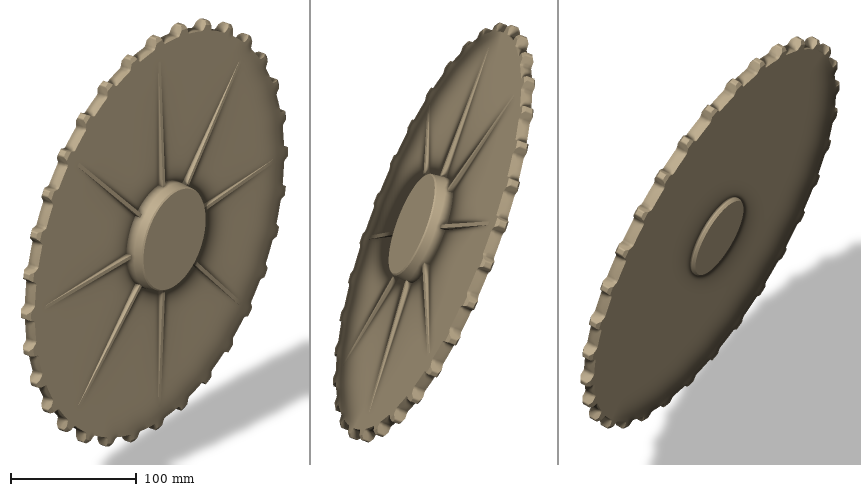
import cadquery as cq
import math

PLATE_BACK = 4.2
PLATE_THICKNESS = 10.0
PLATE_FRONT = PLATE_BACK + PLATE_THICKNESS
COLLAR_HEIGHT = 6.0
COLLAR_FACE = PLATE_FRONT + COLLAR_HEIGHT
TOTAL_LENGTH = 29.0

TOOTH_COUNT = 32
TOOTH_PITCH = 360 / TOOTH_COUNT
TIP_RADIUS = 176.0
ROOT_RADIUS = 168.0
TIP_HALF_WIDTH = 2.5
BASE_HALF_WIDTH = 6.5
ROOT_FILLET = 2.8
TIP_FILLET = 1.8
TIP_CHAMFER_RADIAL = 3.0
TIP_CHAMFER_AXIAL = 2.0
BASE_OVERLAP = 1.8

RIB_COUNT = 8
RIB_PITCH = 360 / RIB_COUNT
RIB_THICKNESS = 3.0
RIB_OUTER_RADIUS = 155.0
RIB_HEIGHT = 4.5

COLLAR_BASE_RADIUS = 44.7
FLANGE_END_RADIUS = 43.0
FLANGE_CHAMFER = 1.0
BEVEL_START = TOTAL_LENGTH - FLANGE_CHAMFER
TAPER = (COLLAR_BASE_RADIUS - FLANGE_END_RADIUS) / (BEVEL_START - PLATE_FRONT)
COLLAR_FACE_RADIUS = COLLAR_BASE_RADIUS - TAPER * COLLAR_HEIGHT
SPIGOT_RADIUS = 35.0
SPIGOT_CHAMFER_RADIAL = 1.5
SPIGOT_CHAMFER_AXIAL = 2.0


def revolve_about_x(points):
    """Solid of revolution about X from (position along X, radius) points."""
    return cq.Workplane("XY").polyline(points).close().revolve(360, (0, 0, 0), (1, 0, 0))


def disc(start, length, radius):
    return cq.Workplane("YZ").workplane(offset=start).circle(radius).extrude(length)


def around_axis(feature, index, pitch):
    return feature.rotate((0, 0, 0), (1, 0, 0), index * pitch)


def make_tooth():
    """Tapered tooth along +Z, with rounded tip corners and concave fillets onto the root circle."""
    base_z = math.sqrt(ROOT_RADIUS**2 - BASE_HALF_WIDTH**2)
    flank_run = BASE_HALF_WIDTH - TIP_HALF_WIDTH
    flank_rise = TIP_RADIUS - base_z
    flank_length = math.hypot(flank_run, flank_rise)
    normal_y = flank_rise / flank_length
    normal_z = flank_run / flank_length

    start_y = BASE_HALF_WIDTH + ROOT_FILLET * normal_y
    start_z = base_z + ROOT_FILLET * normal_z
    along = -start_y * normal_z + start_z * normal_y
    centre_radius = ROOT_RADIUS + ROOT_FILLET
    travel = -along + math.sqrt(along**2 - start_y**2 - start_z**2 + centre_radius**2)
    centre_y = start_y - travel * normal_z
    centre_z = start_z + travel * normal_y

    flank_y = centre_y - ROOT_FILLET * normal_y
    flank_z = centre_z - ROOT_FILLET * normal_z
    root_y = centre_y * ROOT_RADIUS / centre_radius
    root_z = centre_z * ROOT_RADIUS / centre_radius

    mid_y = (flank_y + root_y) / 2 - centre_y
    mid_z = (flank_z + root_z) / 2 - centre_z
    reach = ROOT_FILLET / math.hypot(mid_y, mid_z)
    arc_y = centre_y + mid_y * reach
    arc_z = centre_z + mid_z * reach

    foot_z = root_z - BASE_OVERLAP
    return (
        cq.Workplane("YZ")
        .workplane(offset=PLATE_BACK)
        .moveTo(-root_y, foot_z)
        .lineTo(-root_y, root_z)
        .threePointArc((-arc_y, arc_z), (-flank_y, flank_z))
        .lineTo(-TIP_HALF_WIDTH, TIP_RADIUS)
        .lineTo(TIP_HALF_WIDTH, TIP_RADIUS)
        .lineTo(flank_y, flank_z)
        .threePointArc((arc_y, arc_z), (root_y, root_z))
        .lineTo(root_y, foot_z)
        .close()
        .extrude(PLATE_THICKNESS)
        .edges("|X")
        .edges(">Z")
        .fillet(TIP_FILLET)
    )


def make_tip_envelope():
    """Disc whose bevelled rim cuts the chamfers on both sides of every tooth tip."""
    bevel_radius = TIP_RADIUS - TIP_CHAMFER_RADIAL
    return revolve_about_x([
        (PLATE_BACK, 0),
        (PLATE_BACK, bevel_radius),
        (PLATE_BACK + TIP_CHAMFER_AXIAL, TIP_RADIUS),
        (PLATE_FRONT - TIP_CHAMFER_AXIAL, TIP_RADIUS),
        (PLATE_FRONT, bevel_radius),
        (PLATE_FRONT, 0),
    ])


def make_rib():
    """Triangular rib along +Z, sloping from the collar down to the plate."""
    return (
        cq.Workplane("XZ")
        .polyline([
            (PLATE_BACK, SPIGOT_RADIUS),
            (PLATE_FRONT + RIB_HEIGHT, SPIGOT_RADIUS),
            (PLATE_FRONT + RIB_HEIGHT, COLLAR_BASE_RADIUS),
            (PLATE_FRONT, RIB_OUTER_RADIUS),
            (PLATE_BACK, RIB_OUTER_RADIUS),
        ])
        .close()
        .extrude(RIB_THICKNESS / 2, both=True)
    )


def make_collar():
    """Raised ring on the plate front that supports the hub flange and meets the ribs."""
    return revolve_about_x([
        (PLATE_BACK, 0),
        (PLATE_BACK, COLLAR_BASE_RADIUS),
        (PLATE_FRONT, COLLAR_BASE_RADIUS),
        (COLLAR_FACE, COLLAR_FACE_RADIUS),
        (COLLAR_FACE, 0),
    ])


def make_wheel():
    """Toothed plate with its collar and ribs, bored for the hub spigot."""
    wheel = disc(PLATE_BACK, PLATE_THICKNESS, ROOT_RADIUS)
    tooth = make_tooth()
    for index in range(TOOTH_COUNT):
        wheel = wheel.union(around_axis(tooth, index, TOOTH_PITCH))
    wheel = wheel.intersect(make_tip_envelope())
    wheel = wheel.union(make_collar())
    rib = make_rib()
    for index in range(RIB_COUNT):
        wheel = wheel.union(around_axis(rib, index, RIB_PITCH))
    return wheel.cut(disc(PLATE_BACK, COLLAR_FACE - PLATE_BACK, SPIGOT_RADIUS))


def make_hub():
    """Spigot through the wheel with a slightly tapered flange against the collar."""
    return revolve_about_x([
        (0, 0),
        (0, SPIGOT_RADIUS - SPIGOT_CHAMFER_RADIAL),
        (SPIGOT_CHAMFER_AXIAL, SPIGOT_RADIUS),
        (COLLAR_FACE, SPIGOT_RADIUS),
        (COLLAR_FACE, COLLAR_FACE_RADIUS),
        (BEVEL_START, FLANGE_END_RADIUS),
        (TOTAL_LENGTH, FLANGE_END_RADIUS - FLANGE_CHAMFER),
        (TOTAL_LENGTH, 0),
    ])


wheel = make_wheel()
hub = make_hub()
result = cq.Compound.makeCompound([wheel.val(), hub.val()])